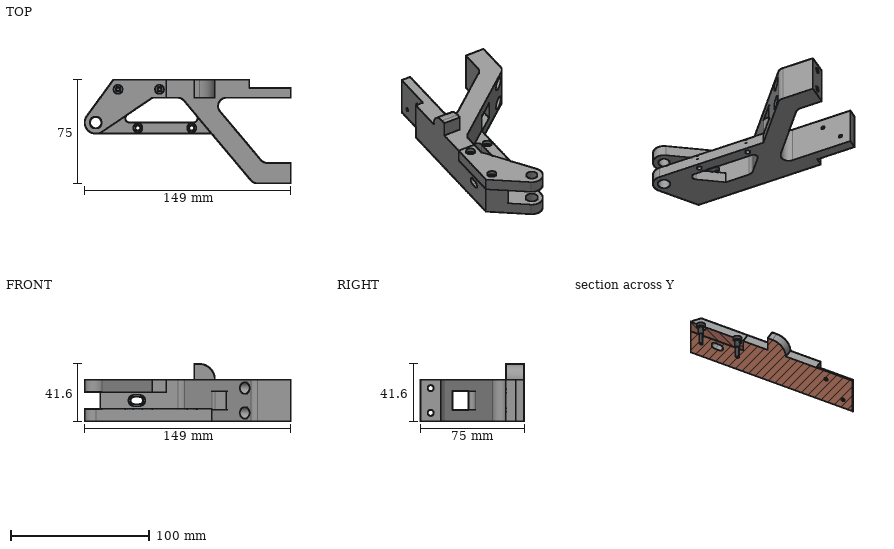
import cadquery as cq
import math


overall_length = 149.0
body_height = 30.1
hinge_radius = 8.0
plate_bore_radius = 4.0
lug_bore_radius = 4.5
lug_thickness = 9.1

rail_front = 17.9
rail_width = 13.1
rail_back = rail_front + rail_width
rail_corner_x = 12.7
right_end = overall_length - hinge_radius
tail_length = 30.0
tail_thickness = 7.2
tail_left = right_end - tail_length
tail_back = rail_front + tail_thickness

arm_angle = 50
arm_width = 15.0
arm_face_x = 83.7
foot_front = -44.0
foot_width = 14.9
foot_back = foot_front + foot_width
bend_radius = 6.0

lug_front = -hinge_radius
strut_width = 8.2
opening_radius = 3.0

plate_right = 51.0
plate_bottom = body_height - lug_thickness
plate_corner = (41.0, rail_front)

screw_radius = 1.8
screw_head_radius = 3.3
screw_head_depth = 3.0
plate_screw_y = 24.0
plate_screw_xs = (16.1, 46.0)
strut_screw_y = lug_front + strut_width / 2
strut_screw_xs = (30.4, 69.3)

tap_radius = 1.25
tap_depth = 9.0
drill_point_angle = 118

slot_x = 29.6
slot_radius = 2.5
slot_head_radius = 4.0
slot_spacing = 4.0
slot_head_depth = 4.5

window_back = -9.2
window_front = -20.7
window_bottom = 8.2
window_top = 21.9
window_edge_radius = 3.0

bolt_radius = 2.1
bolt_head_radius = 4.2
bolt_seat_length = 14.9
bolt_edge_distance = 6.1

tail_hole_offset = 7.0

stop_left = 71.0
stop_radius = 11.5
stop_flat = 3.6

mid_height = body_height / 2
arm_slope = math.tan(math.radians(arm_angle))
arm_width_x = arm_width / math.sin(math.radians(arm_angle))


def arm_left_x(y):
    """X of the arm's left face at a given Y."""
    return arm_face_x - (y - lug_front) / arm_slope


def arm_right_x(y):
    """X of the arm's right face at a given Y."""
    return arm_left_x(y) + arm_width_x


def hinge_point(angle):
    """Point on the hinge outline at an angle in radians."""
    return (hinge_radius * math.cos(angle), hinge_radius * math.sin(angle))


def tangent_angle(point, side):
    """Angle on the hinge outline where a tangent from the point touches; side is +1 or -1."""
    distance = math.hypot(*point)
    return math.atan2(point[1], point[0]) + side * math.acos(hinge_radius / distance)


rail_corner = (rail_corner_x, rail_back)
left_touch = tangent_angle(rail_corner, 1)
lower_touch = tangent_angle(plate_corner, -1)
left_touch_point = hinge_point(left_touch)


def left_edge_x(y):
    """X of the slanted left edge at a given Y."""
    touch_x, touch_y = left_touch_point
    return touch_x + (rail_corner_x - touch_x) * (y - touch_y) / (rail_back - touch_y)


def make_frame():
    """Rail, tail, arm and foot, all of full height."""
    crotch = (arm_right_x(rail_front), rail_front)
    foot_inner = (arm_right_x(foot_back), foot_back)
    foot_outer = (arm_left_x(foot_front), foot_front)
    rail_bend = (arm_left_x(rail_front), rail_front)
    outline = [
        rail_corner,
        (tail_left, rail_back),
        (tail_left, tail_back),
        (right_end, tail_back),
        (right_end, rail_front),
        crotch,
        foot_inner,
        (right_end, foot_back),
        (right_end, foot_front),
        foot_outer,
        rail_bend,
        (left_edge_x(rail_front), rail_front),
    ]
    frame = cq.Workplane("XY").polyline(outline).close().extrude(body_height)
    for corner in (crotch, foot_inner, foot_outer, rail_bend):
        edge = cq.selectors.NearestToPointSelector((*corner, mid_height))
        frame = frame.edges("|Z").edges(edge).fillet(bend_radius)
    return frame


def make_lower_lug():
    """Lower hinge lug with the strut that joins it to the arm."""
    arm_middle = arm_width_x / 2
    bottom_touch = 3 * math.pi / 2
    lug = (
        cq.Workplane("XY")
        .moveTo(*rail_corner)
        .lineTo(*left_touch_point)
        .threePointArc(hinge_point((left_touch + bottom_touch) / 2), (0, lug_front))
        .lineTo(arm_left_x(lug_front) + arm_middle, lug_front)
        .lineTo(arm_left_x(rail_back) + arm_middle, rail_back)
        .close()
        .extrude(lug_thickness)
    )
    touch_x, touch_y = hinge_point(lower_touch)
    opening_front = lug_front + strut_width
    edge_slope = (plate_corner[0] - touch_x) / (plate_corner[1] - touch_y)
    opening_left = touch_x + (opening_front - touch_y) * edge_slope
    front_corners = [(opening_left, opening_front), (arm_left_x(opening_front), opening_front)]
    opening = (
        cq.Workplane("XY")
        .polyline([plate_corner, *front_corners, (arm_left_x(rail_front), rail_front)])
        .close()
        .extrude(lug_thickness)
    )
    for corner in front_corners:
        edge = cq.selectors.NearestToPointSelector((*corner, lug_thickness / 2))
        opening = opening.edges("|Z").edges(edge).fillet(opening_radius)
    return lug.cut(opening)


def make_stop():
    """Block on the rail with a quarter-round right side."""
    top = body_height + stop_radius
    arc_centre_x = stop_left + stop_flat
    diagonal = stop_radius * math.sqrt(0.5)
    return (
        cq.Workplane("XZ", origin=(0, rail_back, 0))
        .moveTo(stop_left, body_height)
        .lineTo(stop_left, top)
        .lineTo(arc_centre_x, top)
        .threePointArc(
            (arc_centre_x + diagonal, body_height + diagonal),
            (arc_centre_x + stop_radius, body_height),
        )
        .close()
        .extrude(rail_width)
    )


def cut_window(frame):
    """Window along X through the arm, with both ends of its back wall rounded."""
    start = (arm_left_x(window_back) - arm_width, window_back)
    end = (arm_right_x(window_front) + arm_width, window_front)
    window = (
        cq.Workplane("XY")
        .polyline([start, (end[0], window_back), end, (start[0], window_front)])
        .close()
        .extrude(window_top - window_bottom)
        .translate((0, 0, window_bottom))
    )
    frame = frame.cut(window)
    window_middle = (window_bottom + window_top) / 2
    for wall_end_x in (arm_left_x(window_back), arm_right_x(window_back)):
        edge = cq.selectors.NearestToPointSelector((wall_end_x, window_back, window_middle))
        frame = frame.edges("|Z").edges(edge).fillet(window_edge_radius)
    return frame


def screw_holes(points, top, depth):
    """Counterbored screw holes going down from the given top."""
    holes = cq.Workplane("XY", origin=(0, 0, top)).pushPoints(points)
    shanks = holes.circle(screw_radius).extrude(-depth)
    heads = holes.circle(screw_head_radius).extrude(-screw_head_depth)
    return shanks.union(heads)


def tapped_hole(x, y):
    """Blind hole with a conical drill point, going down from the plate seat."""
    point_length = tap_radius / math.tan(math.radians(drill_point_angle / 2))
    down = cq.Vector(0, 0, -1)
    seat = cq.Vector(x, y, plate_bottom)
    shank = cq.Solid.makeCylinder(tap_radius, tap_depth, seat, down)
    point = cq.Solid.makeCone(tap_radius, 0, point_length, seat + down * tap_depth, down)
    return shank.fuse(point)


def tail_holes():
    """Two holes through the tail along Y, on a falling diagonal about its middle."""
    tail_middle_x = right_end - tail_length / 2
    places = [(offset, -offset) for offset in (-tail_hole_offset, tail_hole_offset)]
    return (
        cq.Workplane("XZ", origin=(tail_middle_x, rail_front, mid_height))
        .pushPoints(places)
        .circle(tap_radius)
        .extrude(-tail_thickness)
    )


def rail_slot():
    """Counterbored slot through the rail along Y."""

    def slot(radius, depth):
        return (
            cq.Workplane("XZ", origin=(slot_x, rail_front, mid_height))
            .slot2D(slot_spacing + 2 * radius, 2 * radius)
            .extrude(-depth)
        )

    return slot(slot_radius, rail_width).union(slot(slot_head_radius, slot_head_depth))


def bolt_holes():
    """Two bolt holes along the foot, with head clearance opening through the arm's left face."""
    foot_middle = (foot_front + foot_back) / 2
    places = [(foot_middle, bolt_edge_distance), (foot_middle, body_height - bolt_edge_distance)]
    left_start = arm_left_x(rail_front)
    holes = cq.Workplane("YZ", origin=(left_start, 0, 0)).pushPoints(places)
    shanks = holes.circle(bolt_radius).extrude(right_end - left_start)
    heads = holes.circle(bolt_head_radius).extrude(right_end - bolt_seat_length - left_start)
    return shanks.union(heads)


def hinge_bore(radius):
    """Bore along the hinge axis, as tall as the bracket."""
    return cq.Workplane("XY").circle(radius).extrude(body_height)


def make_bracket():
    """Frame, lower lug and stop as one solid, with all its holes and the seat for the plate."""
    bracket = cut_window(make_frame())
    seat = (
        cq.Workplane("XY", origin=(0, 0, plate_bottom))
        .rect(2 * plate_right, 2 * rail_back)
        .extrude(lug_thickness)
    )
    bracket = bracket.cut(seat).union(make_lower_lug()).union(make_stop())
    strut_screws = [(x, strut_screw_y) for x in strut_screw_xs]
    bracket = bracket.cut(screw_holes(strut_screws, lug_thickness, lug_thickness))
    bracket = bracket.cut(hinge_bore(lug_bore_radius)).cut(rail_slot()).cut(bolt_holes())
    for x in plate_screw_xs:
        bracket = bracket.cut(tapped_hole(x, plate_screw_y))
    return bracket.cut(tail_holes())


def make_plate():
    """Upper hinge plate, screwed into the seat on the rail."""
    plate = (
        cq.Workplane("XY", origin=(0, 0, plate_bottom))
        .moveTo(*rail_corner)
        .lineTo(plate_right, rail_back)
        .lineTo(plate_right, rail_front)
        .lineTo(*plate_corner)
        .lineTo(*hinge_point(lower_touch))
        .threePointArc((-hinge_radius, 0), left_touch_point)
        .close()
        .extrude(lug_thickness)
    )
    plate_screws = [(x, plate_screw_y) for x in plate_screw_xs]
    return plate.cut(hinge_bore(plate_bore_radius)).cut(screw_holes(plate_screws, body_height, lug_thickness))


bracket = make_bracket()
hinge_plate = make_plate()
result = cq.Compound.makeCompound([bracket.solids().val(), hinge_plate.solids().val()])